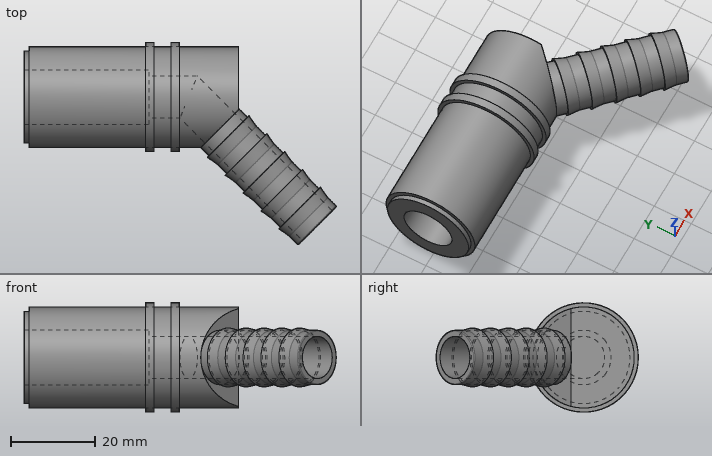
import cadquery as cq
import math

overall_length = 74.15

housing_diameter = 24.0
housing_end = 50.95
nose_diameter = 21.95
nose_length = 1.2

ring_diameter = 26.0
ring_width = 2.0
first_ring_start = 28.85
ring_pitch = 6.0
ring_count = 2

inlet_diameter = 13.0
inlet_depth = 29.7
passage_diameter = 10.0

elbow_x = 39.1
elbow_angle = 45.0
seat_distance = 10.5

stem_diameter = 13.0
tooth_diameter = 14.0
tooth_length = 3.0
first_tooth_offset = 2.75
tooth_pitch = 6.0
tooth_count = 5
tip_round = 0.2

turn = math.radians(elbow_angle)
elbow_point = cq.Vector(elbow_x, 0, 0)
barb_direction = cq.Vector(math.cos(turn), -math.sin(turn), 0)

corner_center_x = overall_length - tip_round
corner_center_offset = stem_diameter / 2 - tip_round
corner_center_distance = (corner_center_x - elbow_x - corner_center_offset * math.sin(turn)) / math.cos(turn)
tip_distance = corner_center_distance + tip_round
stem_length = tip_distance - seat_distance


def barb_plane(distance):
    """Plane square to the barb axis, at a distance from the elbow."""
    return cq.Plane(
        origin=elbow_point + barb_direction * distance,
        xDir=(0, 0, 1),
        normal=barb_direction,
    )


def x_cylinder(diameter, start, end):
    """Cylinder on the housing axis between two X positions."""
    return cq.Workplane("YZ", origin=(start, 0, 0)).circle(diameter / 2).extrude(end - start)


def make_shell():
    """Outside of the housing, cut flat where the barb leaves it."""
    shell = x_cylinder(nose_diameter, 0, nose_length)
    shell = shell.union(x_cylinder(housing_diameter, nose_length, housing_end))
    beyond_seat = (
        cq.Workplane(barb_plane(seat_distance))
        .rect(overall_length, overall_length)
        .extrude(overall_length)
    )
    return shell.cut(beyond_seat)


def make_barb():
    """Stem with teeth that are steep toward the housing and taper toward the rounded tip."""
    barb = (
        cq.Workplane(barb_plane(seat_distance))
        .circle(stem_diameter / 2)
        .extrude(stem_length)
        .faces(cq.selectors.DirectionMinMaxSelector(barb_direction))
        .edges()
        .fillet(tip_round)
    )
    for index in range(tooth_count):
        tooth_start = seat_distance + first_tooth_offset + index * tooth_pitch
        tooth = (
            cq.Workplane(barb_plane(tooth_start))
            .circle(tooth_diameter / 2)
            .workplane(offset=tooth_length)
            .circle(stem_diameter / 2)
            .loft(ruled=True)
        )
        barb = barb.union(tooth)
    return barb


def make_passage():
    """Inlet bore plus a round passage mitred at the elbow."""
    tip_point = elbow_point + barb_direction * tip_distance
    path = cq.Workplane("XY").moveTo(0, 0).lineTo(elbow_x, 0).lineTo(tip_point.x, tip_point.y)
    passage = cq.Workplane("YZ").circle(passage_diameter / 2).sweep(path, transition="right")
    return passage.union(x_cylinder(inlet_diameter, 0, inlet_depth))


def make_fitting():
    """Housing and hose barb in one piece, with the passage through both."""
    return make_shell().union(make_barb()).cut(make_passage())


def make_ring(start):
    """Flat-sided sealing ring that fits snugly around the housing."""
    outside = x_cylinder(ring_diameter, start, start + ring_width)
    return outside.cut(x_cylinder(housing_diameter, start, start + ring_width))


fitting = make_fitting()

rings = []
for ring_index in range(ring_count):
    ring = make_ring(first_ring_start + ring_index * ring_pitch)
    rings.append(ring.val())

result = cq.Compound.makeCompound([fitting.val(), *rings])